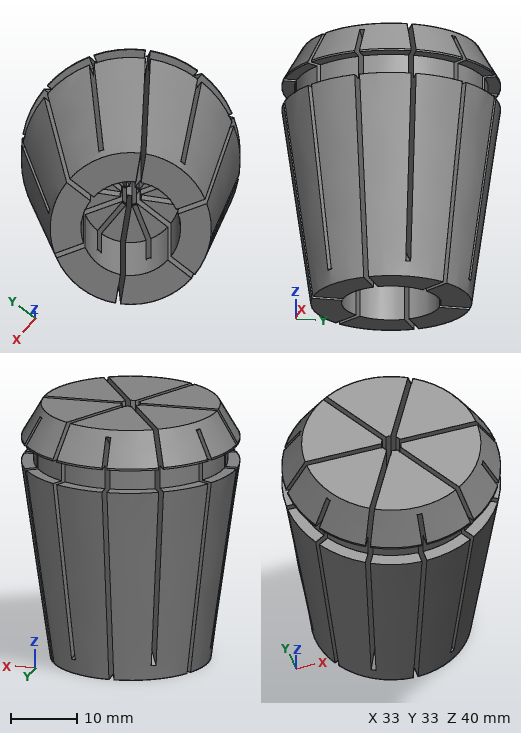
import cadquery as cq
import math

length = 40.0
max_radius = 33.0 / 2
body_taper = 8.0
nose_taper = 30.0

groove_bottom = 31.0
groove_top = 34.55
groove_radius = 14.65
nose_land = 0.3

bore_radius = 3.0 / 2
relief_radius = 15.0 / 2
relief_depth = 15.0

slots_per_end = 6
slot_width = 0.75
saw_radius = 30.0
top_slot_outer_floor = 2.3
top_slot_inner_floor = 15.3
bottom_slot_outer_roof = 39.0
bottom_slot_inner_roof = 19.4
cut_clearance = 0.4

nose_start = groove_top + nose_land
slot_reach = max_radius + cut_clearance


def clamp_radius(z):
    """Radius of the clamping cone at height z."""
    return max_radius - (groove_bottom - z) * math.tan(math.radians(body_taper))


def nose_radius(z):
    """Radius of the nose cone at height z."""
    return max_radius - (z - nose_start) * math.tan(math.radians(nose_taper))


def make_body():
    """Turned body with its groove, bore and relief."""
    profile = [
        (bore_radius, length),
        (nose_radius(length), length),
        (max_radius, nose_start),
        (max_radius, groove_top),
        (groove_radius, groove_top),
        (groove_radius, groove_bottom),
        (max_radius, groove_bottom),
        (clamp_radius(0), 0),
        (relief_radius, 0),
        (relief_radius, relief_depth),
        (bore_radius, relief_depth),
    ]
    return cq.Workplane("XZ").polyline(profile).close().revolve(360, (0, 0), (0, 1))


def make_slot(outer, inner, open_end):
    """Radial slot along +X with an arc from outer to inner, open towards height open_end."""
    chord_x = inner[0] - outer[0]
    chord_z = inner[1] - outer[1]
    chord = math.hypot(chord_x, chord_z)
    sagitta = saw_radius - math.sqrt(saw_radius**2 - (chord / 2) ** 2)
    bow = math.copysign(sagitta, chord_z)
    middle = (
        (outer[0] + inner[0]) / 2 - bow * chord_z / chord,
        (outer[1] + inner[1]) / 2 + bow * chord_x / chord,
    )
    return (
        cq.Workplane("XZ")
        .moveTo(*outer)
        .threePointArc(middle, inner)
        .lineTo(0, inner[1])
        .lineTo(0, open_end)
        .lineTo(slot_reach, open_end)
        .lineTo(slot_reach, outer[1])
        .close()
        .extrude(slot_width / 2, both=True)
    )


def cut_slots(body, slot, first_angle):
    """Cut one evenly spaced ring of slots."""
    for i in range(slots_per_end):
        angle = first_angle + i * 360 / slots_per_end
        body = body.cut(slot.rotate((0, 0, 0), (0, 0, 1), angle))
    return body


top_slot = make_slot(
    (clamp_radius(top_slot_outer_floor), top_slot_outer_floor),
    (bore_radius, top_slot_inner_floor),
    length + cut_clearance,
)
bottom_slot = make_slot(
    (nose_radius(bottom_slot_outer_roof), bottom_slot_outer_roof),
    (bore_radius, bottom_slot_inner_roof),
    -cut_clearance,
)

collet = cut_slots(make_body(), top_slot, 0)
result = cut_slots(collet, bottom_slot, 180 / slots_per_end)